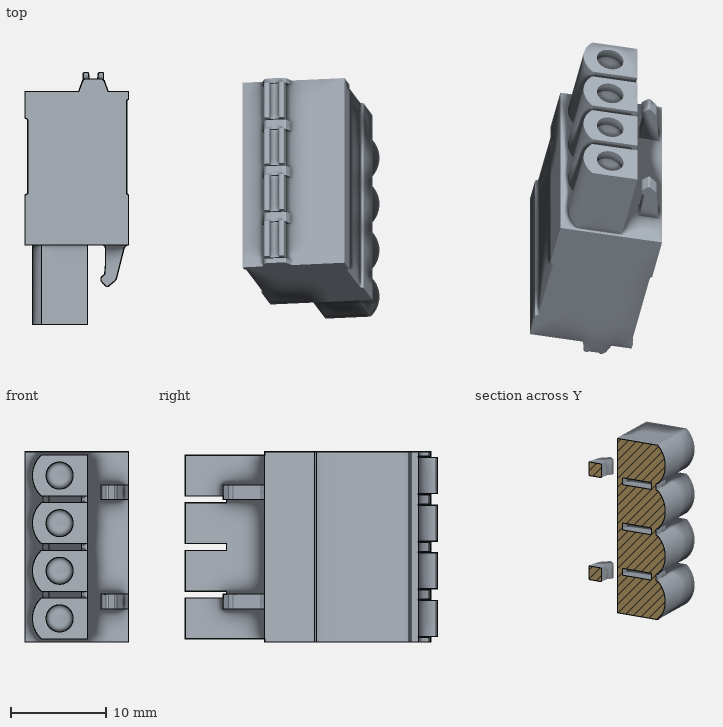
import cadquery as cq

POLE_COUNT = 4
POLE_PITCH = 5.0

BODY_WIDTH = 10.9
BODY_HEIGHT = POLE_COUNT * POLE_PITCH
BODY_FRONT = 8.35
BODY_BACK = 24.5
LEFT_RECESS_DEPTH = 0.3
RIGHT_RECESS_DEPTH = 0.2
RECESS_FRONT = 13.6
LEFT_RECESS_BACK = 21.7
RIGHT_RECESS_BACK = 23.7
STEP_RUN = 0.18

SLEEVE_HEIGHT = 4.3
SLEEVE_LEFT = 0.8
SLEEVE_SHOULDER = 1.73
SLEEVE_RIGHT = 6.58
BORE_X = 3.65
BORE_DIAMETER = 2.84
BORE_DEPTH = 1.1

WEB_LENGTH = 4.0
WEB_LEFT = 1.9
WEB_CHANNEL_LEFT = 2.53
WEB_CHANNEL_RIGHT = 5.93

RIDGE_X = 7.2
RIDGE_BASE_WIDTH = 3.1
RIDGE_TOP_WIDTH = 2.15
RIDGE_HEIGHT = 1.3
RIDGE_EDGE = 0.2
TAIL_WIDTH = 2.15
TAIL_HEIGHT = 3.8
TAIL_LENGTH = 2.0
TAIL_SLOT_BASE = 0.86
TAIL_SLOT_TOP = 1.05
TAIL_EDGE = 0.2
POCKET_CLEARANCE = 0.1

LATCH_THICKNESS = 1.56
LATCH_OFFSET = 5.74

ROOT_INNER = (8.15, 0)
ROOT_INNER_MID = (8.36, -0.09)
ARM_INNER_BACK = (8.45, -0.3)
ARM_INNER_BEND = (8.45, -2.1)
HOOK_THROAT = (8.37, -3.03)
HOOK_THROAT_MID = (8.3, -3.14)
NOSE_BACK = (8.15, -3.24)
NOSE_MID = (7.97, -3.6)
NOSE_FRONT = (8.087, -3.883)
TIP_INNER = (8.5, -4.3)
TIP_OUTER = (8.8, -4.3)
HEEL_FRONT = (9.42, -3.78)
HEEL_MID = (9.575, -3.577)
HEEL_BACK = (9.67, -3.34)
ARM_OUTER_BACK = (10.42, -0.35)
ROOT_OUTER_MID = (10.56, -0.1)
ROOT_OUTER = (10.83, 0)

pole_heights = [POLE_PITCH * (i + 0.5) for i in range(POLE_COUNT)]
gap_heights = [POLE_PITCH * i for i in range(1, POLE_COUNT)]


def block(x0, x1, y0, y1, z0, z1):
    """Axis-aligned box between two corners."""
    return cq.Workplane("XY").box(x1 - x0, y1 - y0, z1 - z0, centered=False).translate((x0, y0, z0))


def make_body():
    """Housing with a shallow recess down each side."""
    left = LEFT_RECESS_DEPTH
    right = BODY_WIDTH - RIGHT_RECESS_DEPTH
    outline = [
        (0, BODY_FRONT),
        (BODY_WIDTH, BODY_FRONT),
        (BODY_WIDTH, RECESS_FRONT),
        (right, RECESS_FRONT + STEP_RUN),
        (right, RIGHT_RECESS_BACK - STEP_RUN),
        (BODY_WIDTH, RIGHT_RECESS_BACK),
        (BODY_WIDTH, BODY_BACK),
        (0, BODY_BACK),
        (0, LEFT_RECESS_BACK),
        (left, LEFT_RECESS_BACK - STEP_RUN),
        (left, RECESS_FRONT + STEP_RUN),
        (0, RECESS_FRONT),
    ]
    return cq.Workplane("XY").polyline(outline).close().extrude(BODY_HEIGHT)


def make_sleeve(z):
    """Front sleeve with a round left side and a blind bore."""
    bottom = z - SLEEVE_HEIGHT / 2
    top = z + SLEEVE_HEIGHT / 2
    sleeve = (
        cq.Workplane("XZ")
        .moveTo(SLEEVE_SHOULDER, bottom)
        .lineTo(SLEEVE_RIGHT, bottom)
        .lineTo(SLEEVE_RIGHT, top)
        .lineTo(SLEEVE_SHOULDER, top)
        .threePointArc((SLEEVE_LEFT, z), (SLEEVE_SHOULDER, bottom))
        .close()
        .extrude(-BODY_FRONT)
    )
    bore = cq.Workplane("XZ").center(BORE_X, z).circle(BORE_DIAMETER / 2).extrude(-BORE_DEPTH)
    return sleeve.cut(bore)


def make_web(z):
    """Pair of posts bridging two sleeves, with an open channel between them."""
    half_gap = (POLE_PITCH - SLEEVE_HEIGHT) / 2
    front = BODY_FRONT - WEB_LENGTH
    left_post = block(WEB_LEFT, WEB_CHANNEL_LEFT, front, BODY_FRONT, z - half_gap, z + half_gap)
    right_post = block(WEB_CHANNEL_RIGHT, SLEEVE_RIGHT, front, BODY_FRONT, z - half_gap, z + half_gap)
    return left_post.union(right_post)


def make_ridge():
    """Tapered ridge along the back, interrupted by a pocket for each tail."""
    top = BODY_BACK + RIDGE_HEIGHT
    outline = [
        (RIDGE_X - RIDGE_BASE_WIDTH / 2, BODY_BACK),
        (RIDGE_X + RIDGE_BASE_WIDTH / 2, BODY_BACK),
        (RIDGE_X + RIDGE_TOP_WIDTH / 2, top),
        (RIDGE_X - RIDGE_TOP_WIDTH / 2, top),
    ]
    ridge = cq.Workplane("XY").polyline(outline).close().extrude(BODY_HEIGHT)
    ridge = ridge.faces(">Y").edges("|Z").chamfer(RIDGE_EDGE)
    half_pocket = TAIL_HEIGHT / 2 + POCKET_CLEARANCE
    for z in pole_heights:
        ridge = ridge.cut(block(0, BODY_WIDTH, BODY_BACK, top, z - half_pocket, z + half_pocket))
    return ridge


def make_tail(z):
    """Contact tail: two round-tipped legs rising from a common base."""
    bottom = z - TAIL_HEIGHT / 2
    slot_floor = BODY_BACK + RIDGE_HEIGHT
    tip = BODY_BACK + TAIL_LENGTH
    tail = block(
        RIDGE_X - TAIL_WIDTH / 2, RIDGE_X + TAIL_WIDTH / 2, BODY_BACK, tip, bottom, bottom + TAIL_HEIGHT
    )
    slot_outline = [
        (RIDGE_X - TAIL_SLOT_BASE / 2, slot_floor),
        (RIDGE_X + TAIL_SLOT_BASE / 2, slot_floor),
        (RIDGE_X + TAIL_SLOT_TOP / 2, tip),
        (RIDGE_X - TAIL_SLOT_TOP / 2, tip),
    ]
    slot = cq.Workplane("XY").polyline(slot_outline).close().extrude(TAIL_HEIGHT).translate((0, 0, bottom))
    return tail.cut(slot).faces(">Y").edges("|Z").fillet(TAIL_EDGE)


def make_latch(z):
    """Hooked latch arm; it reaches forward from the housing front at local Y = 0."""
    latch = (
        cq.Workplane("XY")
        .moveTo(*ROOT_INNER)
        .threePointArc(ROOT_INNER_MID, ARM_INNER_BACK)
        .lineTo(*ARM_INNER_BEND)
        .lineTo(*HOOK_THROAT)
        .threePointArc(HOOK_THROAT_MID, NOSE_BACK)
        .threePointArc(NOSE_MID, NOSE_FRONT)
        .lineTo(*TIP_INNER)
        .tangentArcPoint(TIP_OUTER, relative=False)
        .lineTo(*HEEL_FRONT)
        .threePointArc(HEEL_MID, HEEL_BACK)
        .lineTo(*ARM_OUTER_BACK)
        .threePointArc(ROOT_OUTER_MID, ROOT_OUTER)
        .close()
        .extrude(LATCH_THICKNESS)
    )
    return latch.translate((0, BODY_FRONT, z - LATCH_THICKNESS / 2))


result = make_body().union(make_ridge())
for pole_z in pole_heights:
    result = result.union(make_sleeve(pole_z)).union(make_tail(pole_z))
for gap_z in gap_heights:
    result = result.union(make_web(gap_z))
for side in (-1, 1):
    result = result.union(make_latch(BODY_HEIGHT / 2 + side * LATCH_OFFSET))